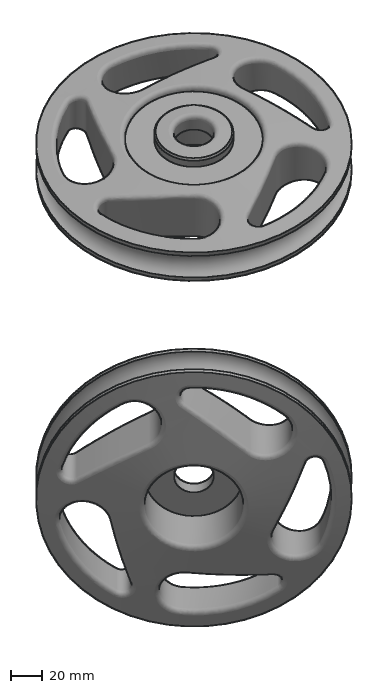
import cadquery as cq
import math

outer_radius = 101.5
rim_half_height = 12.8
groove_radius = 9.5
edge_round = 3.0

bore_radius = 12.8
bore_mouth_height = 24.4
hub_radius = 25.6
hub_chamfer_width = 1.0
hub_chamfer_bottom = 21.3
recess_radius = 44.3
recess_floor = 15.8

cone_slope = (bore_mouth_height - rim_half_height) / (outer_radius - bore_radius)

pocket_radius = 31.7
pocket_ceiling = 12.2

window_count = 5
window_outer_radius = 88.4
big_end_radius = 16.5
small_end_radius = 6.0
flank_radius = 508.0
big_end_angle = 31.8
small_end_angle = -10.7

match_tolerance = 0.02


def cone_height(radius):
    """Distance of either conical face from the middle plane at a radius."""
    return rim_half_height + (outer_radius - radius) * cone_slope


def polar(radius, angle):
    """Vector of a given length at an angle in degrees."""
    return cq.Vector(radius * math.cos(math.radians(angle)), radius * math.sin(math.radians(angle)))


def heading(start, end):
    """Direction from one point to another, in degrees from 0 to 360."""
    return math.degrees(math.atan2(end.y - start.y, end.x - start.x)) % 360


def make_wheel():
    """Revolved wheel with sharp edges: groove, hub, recess, pocket and bore."""
    chamfer_radius = hub_radius - hub_chamfer_width
    profile = (
        cq.Workplane("XZ")
        .moveTo(bore_radius, pocket_ceiling)
        .lineTo(pocket_radius, pocket_ceiling)
        .lineTo(pocket_radius, -cone_height(pocket_radius))
        .lineTo(outer_radius, -rim_half_height)
        .lineTo(outer_radius, -groove_radius)
        .threePointArc((outer_radius - groove_radius, 0), (outer_radius, groove_radius))
        .lineTo(outer_radius, rim_half_height)
        .lineTo(recess_radius, cone_height(recess_radius))
        .lineTo(recess_radius, recess_floor)
        .lineTo(hub_radius, recess_floor)
        .lineTo(hub_radius, hub_chamfer_bottom)
        .lineTo(chamfer_radius, cone_height(chamfer_radius))
        .lineTo(bore_radius, cone_height(bore_radius))
        .close()
    )
    return profile.revolve(360, (0, 0, 0), (0, 1, 0))


def round_circle(body, radius, height):
    """Round the circular edge at a radius and height on the wheel axis."""
    def is_wanted(edge):
        same_radius = abs(edge.radius() - radius) < match_tolerance
        same_height = abs(edge.Center().z - height) < match_tolerance
        return same_radius and same_height

    edges = [edge for edge in body.edges("%CIRCLE").vals() if is_wanted(edge)]
    return body.newObject(edges).fillet(edge_round)


def make_window():
    """Prism through the wheel: two round ends joined by the outer wall and the bowed flank."""
    big_centre = polar(window_outer_radius - big_end_radius, big_end_angle)
    small_centre = polar(window_outer_radius - small_end_radius, small_end_angle)

    spacing = (small_centre - big_centre).Length
    big_reach = flank_radius + big_end_radius
    small_reach = flank_radius + small_end_radius
    corner_cosine = (spacing**2 + big_reach**2 - small_reach**2) / (2 * spacing * big_reach)
    corner_angle = math.degrees(math.acos(corner_cosine))
    big_flank_angle = heading(big_centre, small_centre) - corner_angle
    flank_centre = big_centre + polar(big_reach, big_flank_angle)
    small_flank_angle = heading(small_centre, flank_centre)

    outer_middle_angle = (big_end_angle + small_end_angle) / 2
    big_middle_angle = (big_end_angle + big_flank_angle) / 2
    small_middle_angle = (small_end_angle + 360 + small_flank_angle) / 2
    flank_middle_angle = (big_flank_angle + small_flank_angle) / 2 - 180

    outline = (
        (polar(window_outer_radius, outer_middle_angle), polar(window_outer_radius, big_end_angle)),
        (big_centre + polar(big_end_radius, big_middle_angle),
         big_centre + polar(big_end_radius, big_flank_angle)),
        (flank_centre + polar(flank_radius, flank_middle_angle),
         small_centre + polar(small_end_radius, small_flank_angle)),
        (small_centre + polar(small_end_radius, small_middle_angle),
         polar(window_outer_radius, small_end_angle)),
    )
    half_depth = cone_height(0)
    start = outline[-1][1]
    sketch = cq.Workplane("XY", origin=(0, 0, -half_depth)).moveTo(start.x, start.y)
    for middle, end in outline:
        sketch = sketch.threePointArc((middle.x, middle.y), (end.x, end.y))
    return sketch.close().extrude(2 * half_depth)


def is_window_edge(edge):
    """True for the edges where a window breaks through a conical face."""
    box = edge.BoundingBox()
    centre = edge.Center()
    distance = math.hypot(centre.x, centre.y)
    on_one_face = box.zmin > 0 or box.zmax < 0
    return on_one_face and recess_radius + edge_round < distance < outer_radius


wheel = make_wheel()
wheel = round_circle(wheel, bore_radius, cone_height(bore_radius))
wheel = round_circle(wheel, recess_radius, cone_height(recess_radius))
wheel = round_circle(wheel, pocket_radius, -cone_height(pocket_radius))

window = make_window()
for index in range(window_count):
    wheel = wheel.cut(window.rotate((0, 0, 0), (0, 0, 1), index * 360 / window_count))

window_edges = [edge for edge in wheel.edges().vals() if is_window_edge(edge)]
result = wheel.newObject(window_edges).fillet(edge_round)